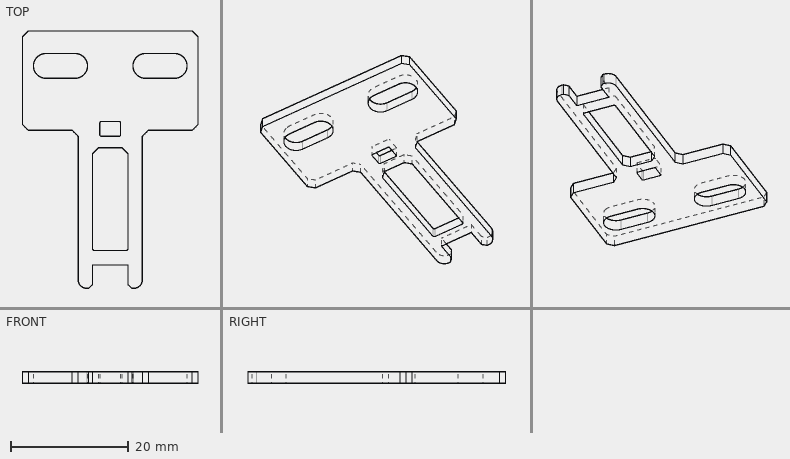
import cadquery as cq

thickness = 2.0
length = 44.0

head_width = 30.0
head_depth = 17.0
corner_chamfer = 1.0

stem_width = 11.0
fork_gap = 6.0
tip_radius = 1.5
tip_chamfer = 0.7

mount_slot_length = 9.2
mount_slot_width = 4.2
mount_slot_offset = 8.5
mount_slot_setback = 6.0

small_hole_width = 3.5
small_hole_start = 15.5
small_hole_end = 18.0
small_hole_radius = 0.2

window_start = 20.0
window_end = 37.5
window_radius = 0.3

notch_start = 40.0


def plate(x_size, y_start, y_end):
    """Full-thickness block centred on X, from y_start to y_end in front of the back edge."""
    return (
        cq.Workplane("XY")
        .center(0, -(y_start + y_end) / 2)
        .rect(x_size, y_end - y_start)
        .extrude(thickness)
    )


def trapezoid(narrow_width, overhang, y_wide, y_narrow):
    """Full-thickness trapezoid centred on X, wider by overhang on each side at y_wide."""
    return (
        cq.Workplane("XY")
        .moveTo(-narrow_width / 2 - overhang, -y_wide)
        .lineTo(-narrow_width / 2, -y_narrow)
        .lineTo(narrow_width / 2, -y_narrow)
        .lineTo(narrow_width / 2 + overhang, -y_wide)
        .close()
        .extrude(thickness)
    )


def blank():
    """T-shaped blank: chamfered head, stem with chamfered neck and rounded end."""
    head = plate(head_width, 0, head_depth).edges("|Z").chamfer(corner_chamfer)
    stem = plate(stem_width, head_depth / 2, length).edges("|Z and <Y").fillet(tip_radius)
    neck = trapezoid(stem_width, corner_chamfer, head_depth, head_depth + corner_chamfer)
    return head.union(stem).union(neck)


def mounting_slots():
    """Pair of round-ended slots through the head."""
    return (
        cq.Workplane("XY")
        .pushPoints([(side * mount_slot_offset, -mount_slot_setback) for side in (-1, 1)])
        .slot2D(mount_slot_length, mount_slot_width)
        .extrude(thickness)
    )


def small_hole():
    """Rectangular hole at the root of the stem."""
    return plate(small_hole_width, small_hole_start, small_hole_end).edges("|Z").fillet(small_hole_radius)


def window():
    """Long opening in the stem, chamfered toward the head and rounded toward the tips."""
    opening = plate(fork_gap, window_start, window_end)
    opening = opening.edges("|Z and >Y").chamfer(corner_chamfer)
    return opening.edges("|Z and <Y").fillet(window_radius)


def notch():
    """Open end between the prongs, flared where it leaves the stem."""
    gap = plate(fork_gap, notch_start, length)
    flare = trapezoid(fork_gap, tip_chamfer, length, length - tip_chamfer)
    return gap.union(flare)


result = blank()
for cutter in (mounting_slots(), small_hole(), window(), notch()):
    result = result.cut(cutter)